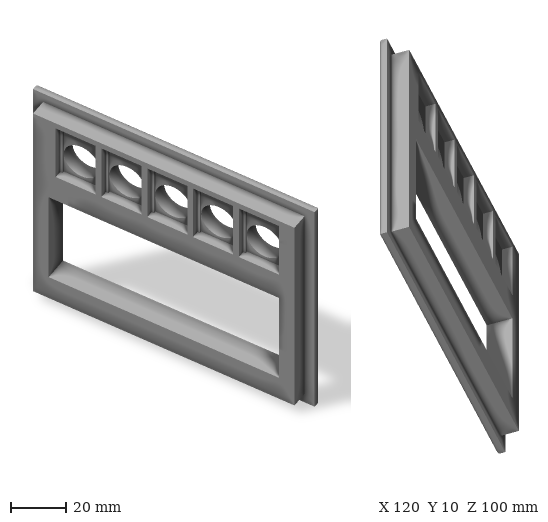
import cadquery as cq

plate_width = 120.0
plate_height = 100.0
plate_thickness = 3.0
edge_round = 1.0

total_depth = 10.0
flange_margin = 4.3
body_width = plate_width - 2 * flange_margin
body_height = plate_height - 2 * flange_margin
body_depth = total_depth - plate_thickness

window_width = 98.0
window_height = 41.0
window_center_z = -14.4

pocket_count = 5
pocket_pitch = 19.5
pocket_width = 17.0
pocket_height = 25.0
pocket_depth = 4.0
pocket_center_z = 30.6
last_pocket_x = (window_width - pocket_width) / 2

hole_diameter = 15.0
hole_center_z = 27.1

ledge_width = (pocket_width - hole_diameter) / 2
ledge_height = 1.0

body_face_y = -total_depth
plate_back_y = 0.0
pocket_floor_y = body_face_y + pocket_depth


def block(width, depth, height, center_x, front_y, center_z):
    """Box centred in X and Z that starts at front_y and extends towards +Y."""
    return cq.Workplane("XY").box(width, depth, height).translate(
        (center_x, front_y + depth / 2, center_z)
    )


plate = block(plate_width, plate_thickness, plate_height, 0, plate_back_y - plate_thickness, 0)
plate = plate.faces(">Y").edges().fillet(edge_round)
body = block(body_width, body_depth, body_height, 0, body_face_y, 0)
window = block(window_width, total_depth, window_height, 0, body_face_y, window_center_z)
result = plate.union(body).cut(window)

for index in range(pocket_count):
    pocket_x = last_pocket_x - index * pocket_pitch
    pocket = block(pocket_width, pocket_depth, pocket_height, pocket_x, body_face_y, pocket_center_z)
    hole = (
        cq.Workplane("XZ", origin=(pocket_x, plate_back_y, hole_center_z))
        .circle(hole_diameter / 2)
        .extrude(total_depth)
    )
    ledge = block(
        ledge_width,
        ledge_height,
        pocket_height,
        pocket_x - (pocket_width - ledge_width) / 2,
        pocket_floor_y - ledge_height,
        pocket_center_z,
    )
    result = result.cut(pocket.cut(ledge)).cut(hole)